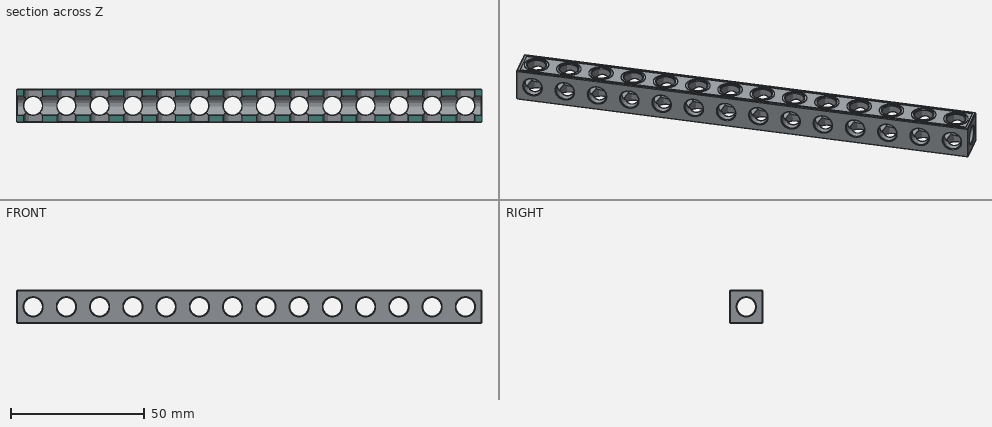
import cadquery as cq

pitch = 12.5
hole_count = 14
bore_diameter = 7.0
wall = 1.1
recess_depth = 0.2
chamfer = 0.3

length = pitch * hole_count
bore_radius = bore_diameter / 2
collar_diameter = bore_diameter + 2 * wall
top_z = pitch / 2
hole_positions = [(pitch * (i + 0.5) - length / 2, 0) for i in range(hole_count)]


def make_bar():
    """Square bar centred on the origin, with all edges chamfered."""
    return cq.Workplane("XY").box(length, pitch, pitch).edges().chamfer(chamfer)


def make_recess():
    """Shallow recess in the top face that leaves a flush collar around each bore."""
    floor = cq.Workplane("XY").workplane(offset=top_z - recess_depth)
    pocket = floor.rect(length - 2 * wall, pitch - 2 * wall).extrude(recess_depth)
    collars = floor.pushPoints(hole_positions).circle(collar_diameter / 2).extrude(recess_depth)
    return pocket.cut(collars)


def make_bore(depth):
    """Cutter along Z, centred on the origin, for a through bore chamfered at both ends."""
    half_depth = depth / 2
    mouth_radius = bore_radius + chamfer
    return (
        cq.Workplane("XZ")
        .moveTo(0, -half_depth)
        .lineTo(mouth_radius, -half_depth)
        .lineTo(bore_radius, chamfer - half_depth)
        .lineTo(bore_radius, half_depth - chamfer)
        .lineTo(mouth_radius, half_depth)
        .lineTo(0, half_depth)
        .close()
        .revolve(360, (0, 0, 0), (0, 1, 0))
    )


result = make_bar().cut(make_recess())

vertical_bore = make_bore(pitch)
cross_bore = vertical_bore.rotate((0, 0, 0), (1, 0, 0), 90)
for x, y in hole_positions:
    result = result.cut(vertical_bore.translate((x, y, 0)))
    result = result.cut(cross_bore.translate((x, y, 0)))

long_bore = make_bore(length).rotate((0, 0, 0), (0, 1, 0), 90)
result = result.cut(long_bore)